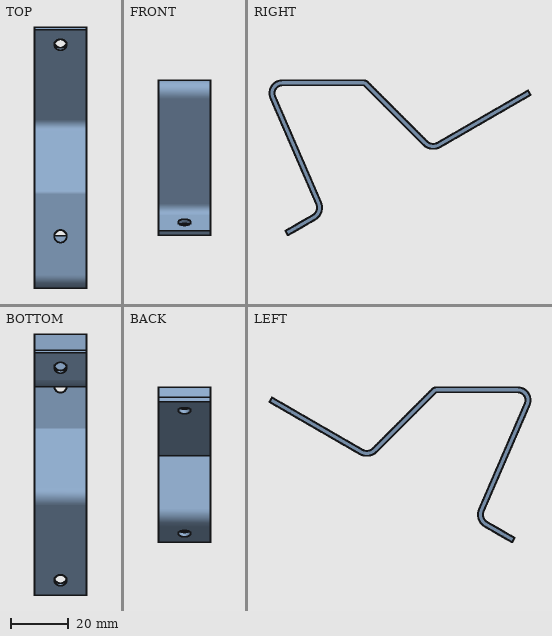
import cadquery as cq
import math

WIDTH = 18.0
THICKNESS = 1.8
HOLE_DIAMETER = 4.3

FOOT_LENGTH = 10.9
POST_LENGTH = 39.85
DECK_LENGTH = 28.1
RAMP_LENGTH = 29.03
ARM_LENGTH = 36.1

FOOT_HEADING = 30.0
POST_HEADING = 113.4
DECK_HEADING = 0.0
RAMP_HEADING = -45.0
ARM_HEADING = 30.0

BEND_RADIUS = 3.0
DECK_BEND_RADIUS = 2.7
KNEE_RADIUS = 0.2

END_HOLE_INSET = 6.0
DECK_HOLE_OFFSET = 13.5

FLATS = [
    (FOOT_HEADING, FOOT_LENGTH, BEND_RADIUS, END_HOLE_INSET),
    (POST_HEADING, POST_LENGTH, DECK_BEND_RADIUS, None),
    (DECK_HEADING, DECK_LENGTH, KNEE_RADIUS, DECK_HOLE_OFFSET),
    (RAMP_HEADING, RAMP_LENGTH, BEND_RADIUS, None),
    (ARM_HEADING, ARM_LENGTH, None, ARM_LENGTH - END_HOLE_INSET),
]


def direction(heading):
    """Unit vector in the YZ plane at a heading in degrees."""
    angle = math.radians(heading)
    return cq.Vector(0, math.cos(angle), math.sin(angle))


def normal(heading):
    """Unit vector a quarter turn counter-clockwise from a heading."""
    return direction(heading + 90)


def flat_edges(start, heading, length):
    """The two long edges of a flat whose mid-thickness line begins at start."""
    along = direction(heading) * length
    half = normal(heading) * (THICKNESS / 2)
    return [cq.Edge.makeLine(start + side, start + side + along) for side in (half, half * -1)]


def bend(start, heading, next_heading, inside_radius):
    """The two arcs of a bend, and the mid-thickness point where it ends."""
    turn = math.copysign(1, next_heading - heading)
    mid_radius = inside_radius + THICKNESS / 2
    centre = start + normal(heading) * (turn * mid_radius)
    angles = (heading, (heading + next_heading) / 2, next_heading)

    def on_arc(radius, angle):
        return centre - normal(angle) * (turn * radius)

    radii = (inside_radius, inside_radius + THICKNESS)
    arcs = [cq.Edge.makeThreePointArc(*[on_arc(radius, angle) for angle in angles]) for radius in radii]
    return arcs, on_arc(mid_radius, next_heading)


def end_edge(point, heading):
    """Square end of the strip across its thickness."""
    half = normal(heading) * (THICKNESS / 2)
    return cq.Edge.makeLine(point - half, point + half)


def hole_cutter(flat_start, heading, distance):
    """Cylinder square through a flat, centred on the strip width."""
    axis = normal(heading)
    centre = flat_start + direction(heading) * distance
    return cq.Solid.makeCylinder(HOLE_DIAMETER / 2, 2 * THICKNESS, centre - axis * THICKNESS, axis)


def make_bracket():
    """Walk along the strip to build its side outline, extrude it and drill the holes."""
    point = cq.Vector(0, 0, 0)
    outline = [end_edge(point, FOOT_HEADING)]
    holes = []
    for index, (heading, length, bend_radius, hole_distance) in enumerate(FLATS):
        outline += flat_edges(point, heading, length)
        if hole_distance is not None:
            holes.append(hole_cutter(point, heading, hole_distance))
        point += direction(heading) * length
        if bend_radius is not None:
            next_heading = FLATS[index + 1][0]
            arcs, point = bend(point, heading, next_heading, bend_radius)
            outline += arcs
    outline.append(end_edge(point, ARM_HEADING))

    profile = cq.Face.makeFromWires(cq.Wire.combine(outline)[0])
    strip = cq.Solid.extrudeLinear(profile, cq.Vector(WIDTH, 0, 0))
    bracket = cq.Workplane(strip.translate(cq.Vector(-WIDTH / 2, 0, 0)))
    for hole in holes:
        bracket = bracket.cut(cq.Workplane(hole))
    return bracket


result = make_bracket()